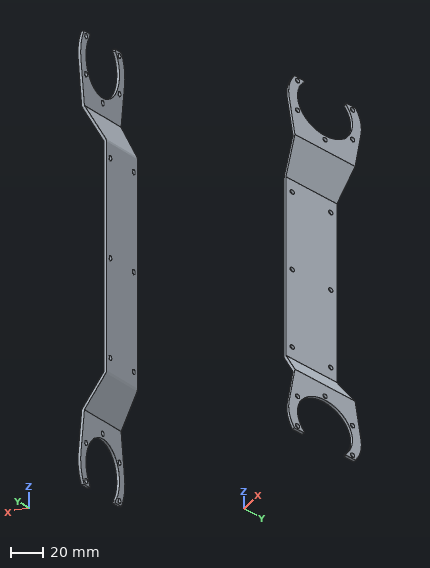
import cadquery as cq
import math

LENGTH = 296.0
DEPTH = 15.7
THICKNESS = 2.0
BEND_ANGLE = math.radians(30.0)
TAB_BEND_Z = 99.2
BEND_BEVEL = 1.0

PLATE_WIDTH = 40.0
PLATE_HOLE_Y = 15.0
PLATE_HOLE_PITCH = 65.0

RING_OUTER_RADIUS = 57.0 / 2
RING_INNER_RADIUS = 43.0 / 2
RING_CENTER_Z = 132.5
MOUTH_WIDTH = 32.5
HOLE_DIAMETER = 3.3
RING_HOLE_RADIUS = 25.0
RING_HOLE_ANGLES = (-30, 30, 150, 210, 270)

TOP_Z = LENGTH / 2
FRONT_X = -DEPTH / 2
BACK_X = DEPTH / 2
TAB_FRONT_X = BACK_X - THICKNESS
JOGGLE_HEIGHT = (DEPTH - THICKNESS) / math.tan(BEND_ANGLE)
PLATE_BEND_Z = TAB_BEND_Z - JOGGLE_HEIGHT
MITER_OFFSET = THICKNESS * math.tan(BEND_ANGLE / 2)
TAPER_START_Z = PLATE_BEND_Z - BEND_BEVEL


def bent_sheet():
    """Side profile of the double joggle, extruded across the full width."""
    front = [
        (FRONT_X, PLATE_BEND_Z),
        (TAB_FRONT_X, TAB_BEND_Z),
        (TAB_FRONT_X, TOP_Z),
    ]
    back = [
        (BACK_X, TOP_Z),
        (BACK_X, TAB_BEND_Z - MITER_OFFSET),
        (FRONT_X + THICKNESS, PLATE_BEND_Z - MITER_OFFSET),
    ]
    upper = front + back
    lower = [(x, -z) for x, z in reversed(upper)]
    sheet = cq.Workplane("XZ").polyline(upper + lower).close()
    sheet = sheet.extrude(RING_OUTER_RADIUS, both=True)

    margin = THICKNESS / 10
    bend_lines = sheet.edges("|Y").filter(
        lambda e: abs(e.Center().x - FRONT_X) < margin and abs(abs(e.Center().z) - PLATE_BEND_Z) < margin
    )
    return bend_lines.chamfer(BEND_BEVEL)


def face_plane():
    """YZ sketch plane at the middle of the depth."""
    return cq.Workplane("YZ")


def flat_outline():
    """Plate outline with sides tapering out tangent to the end rings."""
    half_width = PLATE_WIDTH / 2
    rise = RING_CENTER_Z - TAPER_START_Z
    distance = math.hypot(half_width, rise)
    tangent_angle = math.asin(RING_OUTER_RADIUS / distance) - math.atan2(half_width, rise)
    tangent_y = RING_OUTER_RADIUS * math.cos(tangent_angle)
    tangent_z = RING_CENTER_Z - RING_OUTER_RADIUS * math.sin(tangent_angle)
    top_y = math.sqrt(RING_OUTER_RADIUS**2 - (TOP_Z - RING_CENTER_Z) ** 2)

    outline = (
        face_plane()
        .moveTo(half_width, -TAPER_START_Z)
        .lineTo(half_width, TAPER_START_Z)
        .lineTo(tangent_y, tangent_z)
        .threePointArc((RING_OUTER_RADIUS, RING_CENTER_Z), (top_y, TOP_Z))
        .lineTo(-top_y, TOP_Z)
        .threePointArc((-RING_OUTER_RADIUS, RING_CENTER_Z), (-tangent_y, tangent_z))
        .lineTo(-half_width, TAPER_START_Z)
        .lineTo(-half_width, -TAPER_START_Z)
        .lineTo(-tangent_y, -tangent_z)
        .threePointArc((-RING_OUTER_RADIUS, -RING_CENTER_Z), (-top_y, -TOP_Z))
        .lineTo(top_y, -TOP_Z)
        .threePointArc((RING_OUTER_RADIUS, -RING_CENTER_Z), (tangent_y, -tangent_z))
        .close()
    )
    return outline.extrude(DEPTH, both=True)


def ring_opening(side):
    """Round opening and its straight-sided mouth; side is +1 top, -1 bottom."""
    center = (0, side * RING_CENTER_Z)
    bore = face_plane().center(*center).circle(RING_INNER_RADIUS).extrude(DEPTH, both=True)
    mouth_center_z = side * (RING_CENTER_Z + RING_INNER_RADIUS / 2)
    mouth = face_plane().center(0, mouth_center_z).rect(MOUTH_WIDTH, RING_INNER_RADIUS)
    return bore.union(mouth.extrude(DEPTH, both=True))


def hole_centers():
    """Holes around both rings and in two columns on the center plate."""
    centers = [(y, row * PLATE_HOLE_PITCH) for y in (-PLATE_HOLE_Y, PLATE_HOLE_Y) for row in (-1, 0, 1)]
    for side in (-1, 1):
        for degrees in RING_HOLE_ANGLES:
            angle = math.radians(degrees)
            y = RING_HOLE_RADIUS * math.cos(angle)
            z = RING_CENTER_Z + RING_HOLE_RADIUS * math.sin(angle)
            centers.append((y, side * z))
    return centers


result = bent_sheet().intersect(flat_outline())
for end in (-1, 1):
    result = result.cut(ring_opening(end))
holes = face_plane().pushPoints(hole_centers()).circle(HOLE_DIAMETER / 2)
result = result.cut(holes.extrude(DEPTH, both=True))